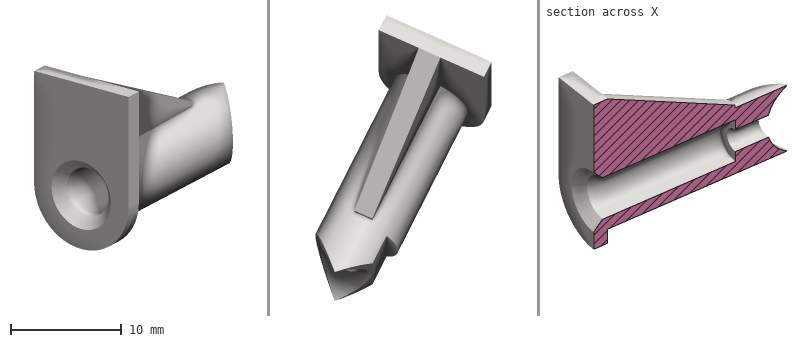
import cadquery as cq

total_length = 21.9

plate_width = 10.5
plate_height = 16.1
plate_thickness = 1.6
plate_end_radius = plate_width / 2
plate_top = plate_height - plate_end_radius

barrel_diameter = 7.37
barrel_radius = barrel_diameter / 2
saddle_radius = 4.0
flat_offset = 2.55
flat_length = 5.5
flat_start = total_length - flat_length

rib_length = 14.3
rib_end = plate_thickness + rib_length
rib_tip_half_width = 0.9
rib_root_half_width = 1.25
rib_tip_step = 0.3
rib_tip_height = barrel_radius + rib_tip_step

screw_hole_diameter = 2.4
bore_diameter = 4.6
bore_depth = rib_end
countersink_diameter = 6.6
countersink_depth = 1.0


def front_workplane():
    """Workplane on the front face whose extrusions run toward +Y; local x is -X, local y is Z."""
    return cq.Workplane(cq.Plane((0, 0, 0), (-1, 0, 0), (0, 1, 0)))


def make_plate():
    return (
        front_workplane()
        .moveTo(-plate_end_radius, plate_top)
        .lineTo(plate_end_radius, plate_top)
        .lineTo(plate_end_radius, 0)
        .threePointArc((0, -plate_end_radius), (-plate_end_radius, 0))
        .close()
        .extrude(plate_thickness)
    )


def make_barrel():
    barrel = front_workplane().circle(barrel_radius).extrude(total_length)

    shoulder = total_length - barrel_radius
    pointed_outline = (
        cq.Workplane("XY", origin=(0, 0, -barrel_radius))
        .moveTo(-barrel_radius, 0)
        .lineTo(barrel_radius, 0)
        .lineTo(barrel_radius, shoulder)
        .lineTo(0, total_length)
        .lineTo(-barrel_radius, shoulder)
        .close()
        .extrude(barrel_diameter)
    )
    barrel = barrel.intersect(pointed_outline)

    saddle_center = total_length + (saddle_radius**2 - barrel_radius**2) ** 0.5
    saddle = (
        cq.Workplane("YZ", origin=(-barrel_radius, 0, 0))
        .center(saddle_center, 0)
        .circle(saddle_radius)
        .extrude(barrel_diameter)
    )
    barrel = barrel.cut(saddle)

    flat_cut = cq.Workplane("XY").box(
        barrel_radius - flat_offset,
        flat_length,
        barrel_diameter,
        centered=(False, False, True),
    )
    return barrel.cut(flat_cut.translate((-barrel_radius, flat_start, 0)))


def make_rib():
    plan = (
        cq.Workplane("XY")
        .moveTo(-rib_tip_half_width, plate_thickness)
        .lineTo(rib_root_half_width, plate_thickness)
        .lineTo(rib_tip_half_width, rib_end)
        .lineTo(-rib_tip_half_width, rib_end)
        .close()
        .extrude(plate_top)
    )
    side = (
        cq.Workplane("YZ", origin=(-rib_root_half_width, 0, 0))
        .moveTo(plate_thickness, 0)
        .lineTo(rib_end, 0)
        .lineTo(rib_end, rib_tip_height)
        .lineTo(plate_thickness, plate_top)
        .close()
        .extrude(2 * rib_root_half_width)
    )
    return plan.intersect(side)


def make_screw_hole():
    """Revolved cutter: countersunk mouth, wide bore for the screw head, narrow through hole."""
    bore_radius = bore_diameter / 2
    screw_radius = screw_hole_diameter / 2
    return (
        cq.Workplane("XY")
        .lineTo(countersink_diameter / 2, 0)
        .lineTo(bore_radius, countersink_depth)
        .lineTo(bore_radius, bore_depth)
        .lineTo(screw_radius, bore_depth)
        .lineTo(screw_radius, total_length)
        .lineTo(0, total_length)
        .close()
        .revolve(360, (0, 0, 0), (0, 1, 0))
    )


result = make_plate().union(make_barrel()).union(make_rib()).cut(make_screw_hole())